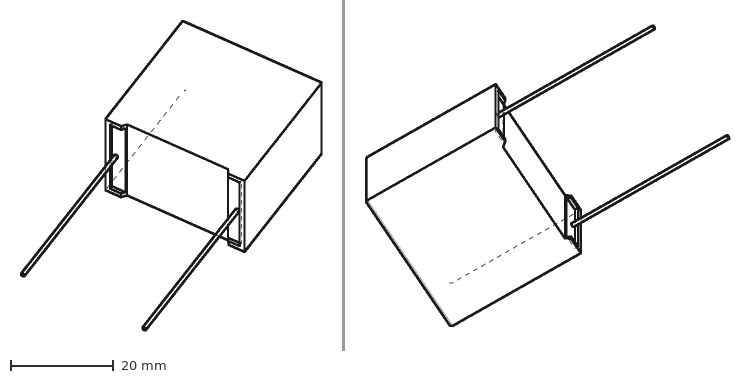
import cadquery as cq

CASE_WIDTH = 31.5
CASE_HEIGHT = 21.0
TOTAL_LENGTH = 65.0
LEAD_LENGTH = 35.05
CASE_LENGTH = TOTAL_LENGTH - LEAD_LENGTH

REAR_RADIUS = 0.6

CHANNEL_DEPTH = 1.0
CHANNEL_FLOOR_WIDTH = 22.8
CHANNEL_FLARE = 0.8

WALL = 1.1
POCKET_DEPTH = 0.7
POCKET_HEIGHT = CASE_HEIGHT - 2 * WALL
POCKET_WIDTH = (CASE_WIDTH - CHANNEL_FLOOR_WIDTH) / 2 - WALL
POCKET_OFFSET = (CHANNEL_FLOOR_WIDTH + POCKET_WIDTH) / 2

LEAD_DIAMETER = 0.85
LEAD_PITCH = 27.5

SIDES = (-1, 1)


def make_case():
    """Block with a rounded rear with a front channel and a pocket in each foot."""
    block = (
        cq.Workplane("XY")
        .box(CASE_WIDTH, CASE_LENGTH, CASE_HEIGHT, centered=(True, False, True))
        .faces(">Y")
        .edges()
        .fillet(REAR_RADIUS)
    )
    return block.cut(make_channel()).cut(make_pockets())


def make_channel():
    """Trapezoidal channel that runs the full height of the front face."""
    half_floor = CHANNEL_FLOOR_WIDTH / 2
    half_mouth = half_floor + CHANNEL_FLARE
    return (
        cq.Workplane("XY")
        .polyline([
            (-half_mouth, 0),
            (half_mouth, 0),
            (half_floor, CHANNEL_DEPTH),
            (-half_floor, CHANNEL_DEPTH),
        ])
        .close()
        .extrude(CASE_HEIGHT / 2, both=True)
    )


def make_pockets():
    """Two rectangular pockets that open through the front of the feet."""
    return (
        cq.Workplane("XY")
        .pushPoints([(side * POCKET_OFFSET, 0) for side in SIDES])
        .box(POCKET_WIDTH, POCKET_DEPTH, POCKET_HEIGHT, centered=(True, False, True))
    )


def make_lead(x):
    """Straight round lead that stands on the pocket floor."""
    return (
        cq.Workplane("XZ", origin=(x, POCKET_DEPTH, 0))
        .circle(LEAD_DIAMETER / 2)
        .extrude(POCKET_DEPTH + LEAD_LENGTH)
    )


case = make_case()
leads = [make_lead(side * LEAD_PITCH / 2) for side in SIDES]

result = cq.Compound.makeCompound([case.val(), *[lead.val() for lead in leads]])